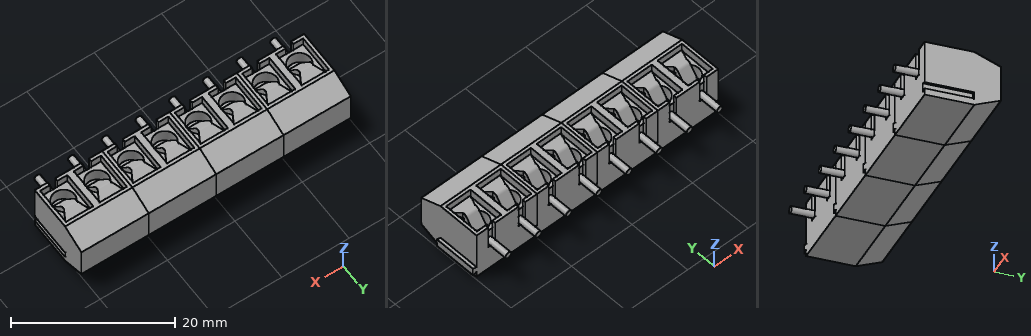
import cadquery as cq
import math

overall_length = 40.6
module_count = 4
poles_per_module = 2

body_depth = 10.0
body_height = 7.6
chamfer_depth = 3.5
chamfer_drop = 1.4
wall = 0.5

dovetail_depth = 0.6
dovetail_base = 0.75
dovetail_height = 1.2
dovetail_flare = 0.15

pocket_depth = 1.3
well_radius = 1.62
well_center_y = 2.6

ramp_foot_drop = 1.1
ramp_end_y = 4.15
crest_drop = 0.4
crest_y = 4.0
nose_width = 2.0
nose_radius = 0.77
nose_angle = math.radians(53.0)
toe_y = 1.42

slot_width = 1.1
slot_depth = 3.6
pin_diameter = 0.97
pin_drop = 3.05
pin_projection = 3.0

module_width = (overall_length - dovetail_depth) / module_count
pole_pitch = module_width / poles_per_module
pocket_width = pole_pitch - 2 * wall
flat_depth = body_depth - chamfer_depth
pocket_back = flat_depth - wall
floor_z = body_height - pocket_depth

crest_z = body_height - crest_drop
nose_center_z = crest_z - nose_radius
ramp_end_z = nose_center_z + math.sqrt(nose_radius**2 - (ramp_end_y - crest_y) ** 2)

nose_tangent_y = crest_y - nose_radius * math.sin(nose_angle)
nose_tangent_z = nose_center_z + nose_radius * math.cos(nose_angle)
well_bottom_z = nose_tangent_z - (nose_tangent_y - toe_y) * math.tan(nose_angle)


def make_block():
    """Body of one module, with both wire-side edges sloped."""
    return (
        cq.Workplane("YZ")
        .moveTo(0, 0)
        .lineTo(flat_depth, 0)
        .lineTo(body_depth, chamfer_drop)
        .lineTo(body_depth, body_height - chamfer_drop)
        .lineTo(flat_depth, body_height)
        .lineTo(0, body_height)
        .close()
        .extrude(module_width)
    )


def make_dovetail(root_x):
    """Rail pointing to -X from its root, widening towards its outer face."""
    outer_x = root_x - dovetail_depth
    top_z = dovetail_base + dovetail_height
    return (
        cq.Workplane("XZ")
        .moveTo(root_x, dovetail_base + dovetail_flare)
        .lineTo(outer_x, dovetail_base)
        .lineTo(outer_x, top_z)
        .lineTo(root_x, top_z - dovetail_flare)
        .close()
        .extrude(-flat_depth)
    )


def make_pole_cavity(center_x):
    """Rectangular pocket, round well below it, and the pin slot through the front wall."""
    pocket = cq.Workplane("XY").box(
        pocket_width, pocket_back - wall, pocket_depth, centered=(True, False, False)
    ).translate((center_x, wall, floor_z))
    well = (
        cq.Workplane("XY", origin=(center_x, well_center_y, well_bottom_z))
        .circle(well_radius)
        .extrude(floor_z - well_bottom_z)
    )
    slot = cq.Workplane("XY").box(
        slot_width, wall, slot_depth, centered=(True, False, False)
    ).translate((center_x, 0, body_height - slot_depth))
    return pocket.union(well).union(slot)


def make_clamp(center_x):
    """Ramp rising from the back wall, tapering in plan to the nose that dips to the well bottom."""
    side_profile = (
        cq.Workplane("YZ", origin=(center_x, 0, 0))
        .moveTo(pocket_back, well_bottom_z)
        .lineTo(pocket_back, body_height - ramp_foot_drop)
        .lineTo(ramp_end_y, ramp_end_z)
        .threePointArc((crest_y, crest_z), (nose_tangent_y, nose_tangent_z))
        .lineTo(toe_y, well_bottom_z)
        .close()
        .extrude(pocket_width / 2, both=True)
    )
    plan_outline = (
        cq.Workplane("XY", origin=(center_x, 0, well_bottom_z))
        .moveTo(-pocket_width / 2, pocket_back)
        .lineTo(-nose_width / 2, ramp_end_y)
        .lineTo(-nose_width / 2, toe_y)
        .lineTo(nose_width / 2, toe_y)
        .lineTo(nose_width / 2, ramp_end_y)
        .lineTo(pocket_width / 2, pocket_back)
        .close()
        .extrude(body_height - well_bottom_z)
    )
    return side_profile.intersect(plan_outline)


def make_pin(center_x):
    """Round pin standing out of the slot's end face towards -Y."""
    return (
        cq.Workplane("XZ", origin=(center_x, wall, body_height - pin_drop))
        .circle(pin_diameter / 2)
        .extrude(wall + pin_projection)
    )


def make_module():
    """One terminal module: rail on its -X side, matching groove on its +X side."""
    module = make_block().cut(make_dovetail(module_width)).union(make_dovetail(0))
    for pole in range(poles_per_module):
        center_x = (pole + 0.5) * pole_pitch
        module = module.cut(make_pole_cavity(center_x))
        module = module.union(make_clamp(center_x))
        module = module.union(make_pin(center_x))
    return module


base_module = make_module()
modules = []
for index in range(module_count):
    modules.append(base_module.translate((index * module_width, 0, 0)).solids().val())

result = cq.Compound.makeCompound(modules)